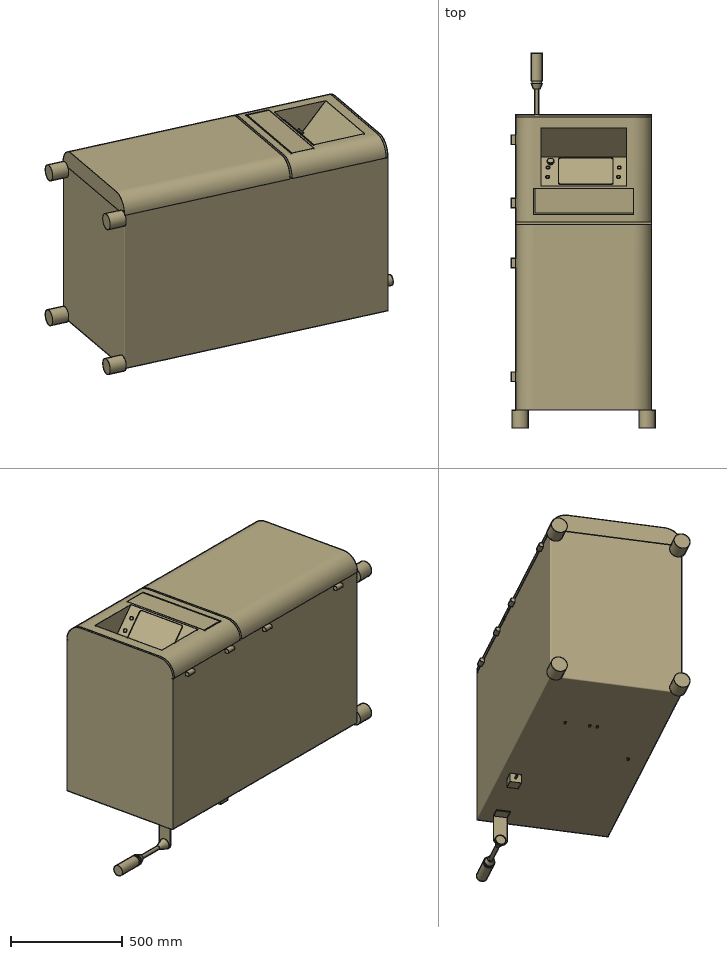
import cadquery as cq
import math


OVERALL_LENGTH = 1689

CABINET_WIDTH = 611.0
CABINET_LENGTH = 1330.0
CABINET_HEIGHT = 767.0
CABINET_EDGE_RADIUS = 5.0
DOOR_HEIGHT = 85.0
DOOR_RADIUS = 81.0
DOOR_TOP = CABINET_HEIGHT + DOOR_HEIGHT
END_PLATE_THICKNESS = 10.0
DOOR_GAP = 10.0
DOOR_GAP_MIDDLE = 841.0
LOWER_DOOR_END = DOOR_GAP_MIDDLE - DOOR_GAP / 2
UPPER_DOOR_START = DOOR_GAP_MIDDLE + DOOR_GAP / 2
UPPER_DOOR_END = CABINET_LENGTH - END_PLATE_THICKNESS

FOOT_DIAMETER = 75.0
FOOT_LENGTH = 81.0
FOOT_SPACING_X = 570.0
FOOT_SPACING_Z = 723.0
FOOT_LOWEST_Z = 22.0

HINGE_DIAMETER = 20.0
HINGE_LENGTH = 44.0
HINGE_POSITIONS = (150.0, 662.0, 932.0, 1218.0)

TROUGH_WIDTH = 385.0
TROUGH_FRONT = 1010.0
TROUGH_BACK = 1270.0
TROUGH_DEPTH = 144.0
TROUGH_WALL = 14.0
TROUGH_BOTTOM = (TROUGH_FRONT + TROUGH_BACK) / 2
PANEL_RUN = TROUGH_BOTTOM - TROUGH_FRONT
PANEL_NORMAL = cq.Vector(0, TROUGH_DEPTH, PANEL_RUN)
PANEL_SLOPE = math.hypot(PANEL_RUN, TROUGH_DEPTH)

SCREEN_MIDDLE_X = 10.0
SCREEN_WIDTH = 245.0
SCREEN_MARGIN = 8.0
SCREEN_THICKNESS = 3.0
SCREEN_CORNER = 10.0
BUTTON_DIAMETER = 17.0
BUTTON_HEIGHT = 3.0
BUTTON_PLACES = ((-160.0, 1091.0), (-162.0, 1049.0), (160.0, 1091.0), (157.0, 1049.0))
STOP_BUTTON_DIAMETER = 30.0
STOP_STEM_DIAMETER = 20.0
STOP_STEM_HEIGHT = 8.0
STOP_CAP_HEIGHT = 8.0
STOP_BUTTON_PLACE = (-149.0, 1111.0)

FLAP_THICKNESS = 20.0
FLAP_GAP = 5.0
FLAP_BACK = 998.0
FLAP_RECESS_FRONT = 882.0
FLAP_RECESS_WIDTH = CABINET_WIDTH - 2 * DOOR_RADIUS

SWITCH_BOX_WIDTH = 52.0
SWITCH_BOX_LENGTH = 54.0
SWITCH_BOX_HEIGHT = 44.0
SWITCH_BOX_X = -240.0
SWITCH_BOX_Y = 912.0
SWITCH_PIN_DIAMETER = 8.0
SWITCH_PIN_LENGTH = 25.0
SWITCH_PIN_DEPTH = 22.0
PAD_WIDTH = 8.0
PAD_LENGTH = 14.0
PAD_HEIGHT = 5.0
PAD_POSITIONS_X = (-140.0, -25.0, 10.0)
PAD_Y = 380.0
HOOK_X = 215.0
HOOK_Y = 620.0
HOOK_HEIGHT = 10.0
HOOK_WIDTH = 8.0
HOOK_THICKNESS = 5.0

LAMP_X = -211.0
LAMP_DROP = 125.0
BRACKET_WIDTH = 65.0
BRACKET_DROP = 150.0
BRACKET_THICKNESS = 5.0
BRACKET_FLANGE_THICKNESS = 5.0
BRACKET_FLANGE_LENGTH = 50.0
BRACKET_Y = 1268.0
LAMP_NUT_RADIUS = 24.0
LAMP_NUT_THICKNESS = 3.0
LAMP_END = OVERALL_LENGTH - FOOT_LENGTH
LAMP_RADIUS = 25.0
LAMP_BODY_LENGTH = 125.0
LAMP_RING_RADIUS = 22.0
LAMP_RING_LENGTH = 12.0
LAMP_CONE_LENGTH = 25.0
LAMP_CONE_RADIUS = 15.0
POLE_RADIUS = 9.3
POLE_BASE_RADIUS = 25.0
POLE_BASE_LENGTH = 47.0


def block(x_start, x_end, y_start, y_end, z_start, z_end):
    """Box given by its limits along each axis."""
    return (
        cq.Workplane("XY")
        .box(x_end - x_start, y_end - y_start, z_end - z_start, centered=False)
        .translate((x_start, y_start, z_start))
    )


def cylinder_along_y(x, z, radius, y_start, y_end):
    """Round bar parallel to Y."""
    return cq.Workplane("XZ", origin=(x, y_start, z)).circle(radius).extrude(y_start - y_end)


def door_blank(y_start, y_end):
    """Slab over the full cabinet width with both upper long edges rounded."""
    half_width = CABINET_WIDTH / 2
    slab = block(-half_width, half_width, y_start, y_end, CABINET_HEIGHT, DOOR_TOP)
    return slab.edges("|Y and >Z").fillet(DOOR_RADIUS)


def trough_prism(wall):
    """Triangular prism of the trough, lowered by the wall and longer by it at both ends."""
    length = TROUGH_WIDTH + 2 * wall
    outline = [
        (TROUGH_FRONT, DOOR_TOP - wall),
        (TROUGH_BACK, DOOR_TOP - wall),
        (TROUGH_BOTTOM, DOOR_TOP - TROUGH_DEPTH - wall),
    ]
    return cq.Workplane("YZ", origin=(-length / 2, 0, 0)).polyline(outline).close().extrude(length)


def panel_plane(x, y):
    """Plane on the front slope of the trough, its local Y pointing down the slope."""
    z = DOOR_TOP - (y - TROUGH_FRONT) * TROUGH_DEPTH / PANEL_RUN
    return cq.Plane(origin=(x, y, z), xDir=(1, 0, 0), normal=PANEL_NORMAL)


def control_panel():
    """Screen, push buttons and stop button standing on the front slope."""
    middle = (TROUGH_FRONT + TROUGH_BOTTOM) / 2
    screen_length = PANEL_SLOPE - 2 * SCREEN_MARGIN
    fittings = (
        cq.Workplane(panel_plane(SCREEN_MIDDLE_X, middle))
        .rect(SCREEN_WIDTH, screen_length)
        .extrude(SCREEN_THICKNESS)
        .edges(cq.selectors.ParallelDirSelector(PANEL_NORMAL))
        .fillet(SCREEN_CORNER)
    )
    for place in BUTTON_PLACES:
        button = cq.Workplane(panel_plane(*place)).circle(BUTTON_DIAMETER / 2).extrude(BUTTON_HEIGHT)
        fittings = fittings.add(button)
    stop_button = (
        cq.Workplane(panel_plane(*STOP_BUTTON_PLACE))
        .circle(STOP_STEM_DIAMETER / 2)
        .extrude(STOP_STEM_HEIGHT)
        .faces(cq.selectors.DirectionMinMaxSelector(PANEL_NORMAL))
        .workplane()
        .circle(STOP_BUTTON_DIAMETER / 2)
        .extrude(STOP_CAP_HEIGHT)
    )
    return fittings.add(stop_button)


def make_cabinet():
    """Housing with its end plate, feet, hinges and the fittings of the lower face."""
    half_width = CABINET_WIDTH / 2
    cabinet = block(-half_width, half_width, 0, CABINET_LENGTH, 0, CABINET_HEIGHT)
    cabinet = cabinet.faces("<Y or <X or >X").edges("not >Y").fillet(CABINET_EDGE_RADIUS)
    cabinet = cabinet.union(door_blank(UPPER_DOOR_END, CABINET_LENGTH))
    cabinet = cabinet.cut(trough_prism(TROUGH_WALL))

    for x in (-FOOT_SPACING_X / 2, FOOT_SPACING_X / 2):
        for z in (FOOT_LOWEST_Z, FOOT_LOWEST_Z + FOOT_SPACING_Z):
            foot = cylinder_along_y(x, z, FOOT_DIAMETER / 2, -FOOT_LENGTH, 0)
            cabinet = cabinet.union(foot)

    for y in HINGE_POSITIONS:
        cabinet = cabinet.union(hinge(y))

    return cabinet.union(switch_box()).union(small_fittings())


def hinge(y):
    """Half-round hinge barrel against the -X side, just below the doors."""
    radius = HINGE_DIAMETER / 2
    return (
        cq.Workplane("XZ", origin=(-CABINET_WIDTH / 2, y + HINGE_LENGTH / 2, CABINET_HEIGHT))
        .lineTo(-radius, 0)
        .threePointArc((-HINGE_DIAMETER, -radius), (-radius, -HINGE_DIAMETER))
        .lineTo(0, -HINGE_DIAMETER)
        .close()
        .extrude(HINGE_LENGTH)
    )


def switch_box():
    """Box with a pin pointing to -Y."""
    front = SWITCH_BOX_Y - SWITCH_BOX_LENGTH / 2
    box = block(
        SWITCH_BOX_X - SWITCH_BOX_WIDTH / 2,
        SWITCH_BOX_X + SWITCH_BOX_WIDTH / 2,
        front,
        front + SWITCH_BOX_LENGTH,
        -SWITCH_BOX_HEIGHT,
        0,
    )
    pin = cylinder_along_y(
        SWITCH_BOX_X, -SWITCH_PIN_DEPTH, SWITCH_PIN_DIAMETER / 2, front - SWITCH_PIN_LENGTH, front
    )
    return box.union(pin)


def small_fittings():
    """Three pads in a row and one L-shaped hook."""
    end = HOOK_Y + HOOK_THICKNESS
    left = HOOK_X - HOOK_WIDTH / 2
    right = HOOK_X + HOOK_WIDTH / 2
    fittings = block(left, right, HOOK_Y, end, -HOOK_HEIGHT, 0)
    tip = block(left, right, HOOK_Y - HOOK_THICKNESS, HOOK_Y, -HOOK_HEIGHT, HOOK_THICKNESS - HOOK_HEIGHT)
    fittings = fittings.union(tip)
    for x in PAD_POSITIONS_X:
        pad = cq.Workplane("XY").center(x, PAD_Y).rect(PAD_WIDTH, PAD_LENGTH).extrude(-PAD_HEIGHT)
        fittings = fittings.union(pad)
    return fittings


def make_lower_door():
    """Plain door between the front face and the gap."""
    return door_blank(0, LOWER_DOOR_END)


def flap_block(gap):
    """Block filling the flap recess, with a gap left on its -X and -Y sides."""
    half_width = FLAP_RECESS_WIDTH / 2
    return block(
        -half_width + gap,
        half_width,
        FLAP_RECESS_FRONT + gap,
        FLAP_BACK,
        DOOR_TOP - FLAP_THICKNESS,
        DOOR_TOP,
    )


def make_upper_door():
    """Door with the trough, its control panel and the recess for the flap."""
    door = door_blank(UPPER_DOOR_START, UPPER_DOOR_END)
    door = door.union(trough_prism(TROUGH_WALL)).cut(trough_prism(0))
    door = door.cut(flap_block(0))
    for fitting in control_panel().vals():
        door = door.union(cq.Workplane(fitting))
    return door


def make_keyboard_flap():
    """Flap lying flush in the upper door."""
    return flap_block(FLAP_GAP)


def make_signal_lamp():
    """Turned lamp and pole on an angle bracket hanging below the cabinet."""
    half_width = BRACKET_WIDTH / 2
    leg = (
        cq.Workplane("XZ", origin=(LAMP_X, BRACKET_Y, 0))
        .moveTo(-half_width, 0)
        .lineTo(-half_width, -LAMP_DROP)
        .threePointArc((0, -BRACKET_DROP), (half_width, -LAMP_DROP))
        .lineTo(half_width, 0)
        .close()
        .extrude(-BRACKET_THICKNESS)
    )
    flange = block(
        LAMP_X - half_width,
        LAMP_X + half_width,
        BRACKET_Y - BRACKET_FLANGE_LENGTH,
        BRACKET_Y,
        -BRACKET_FLANGE_THICKNESS,
        0,
    )

    base = BRACKET_Y + BRACKET_THICKNESS
    body_start = LAMP_END - LAMP_BODY_LENGTH
    ring_start = body_start - LAMP_RING_LENGTH
    cone_start = ring_start - LAMP_CONE_LENGTH
    profile = [
        (0, base),
        (POLE_BASE_RADIUS, base),
        (POLE_RADIUS, base + POLE_BASE_LENGTH),
        (POLE_RADIUS, cone_start),
        (LAMP_CONE_RADIUS, cone_start),
        (LAMP_RADIUS, ring_start),
        (LAMP_RING_RADIUS, ring_start),
        (LAMP_RING_RADIUS, body_start),
        (LAMP_RADIUS, body_start),
        (LAMP_RADIUS, LAMP_END),
        (0, LAMP_END),
    ]
    lamp = (
        cq.Workplane("XY")
        .polyline(profile)
        .close()
        .revolve(360, (0, 0, 0), (0, 1, 0))
        .translate((LAMP_X, 0, -LAMP_DROP))
    )
    nut = cylinder_along_y(LAMP_X, -LAMP_DROP, LAMP_NUT_RADIUS, BRACKET_Y - LAMP_NUT_THICKNESS, BRACKET_Y)
    return leg.union(flange).union(nut).union(lamp)


cabinet = make_cabinet()
lower_door = make_lower_door()
upper_door = make_upper_door()
keyboard_flap = make_keyboard_flap()
signal_lamp = make_signal_lamp()

result = cq.Compound.makeCompound(
    [cabinet.val(), lower_door.val(), upper_door.val(), keyboard_flap.val(), signal_lamp.val()]
)